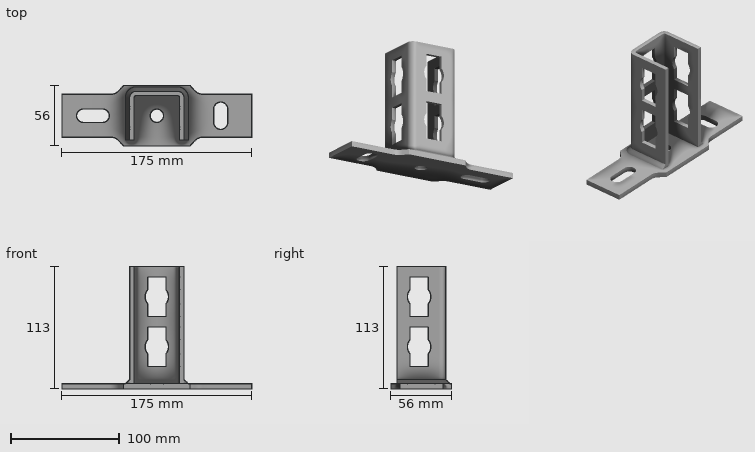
import cadquery as cq

plate_length = 175.0
plate_width = 56.0
end_width = 39.7
wide_length = 60.9
shoulder_run = 7.5
plate_thickness = 5.0
neck_radius = 10.0
selection_margin = 1.8

hole_diameter = 12.0
slot_offset = 58.8
long_slot_length = 30.0
long_slot_width = 12.0
cross_slot_length = 25.0
cross_slot_width = 12.8

total_height = 113.0
channel_width = 50.0
channel_depth = 45.0
wall = 4.0
outer_bend_radius = 6.0
inner_bend_radius = outer_bend_radius - wall

window_width = 16.5
window_height = 36.0
window_bulge = 2.5
bulge_height = 13.0
window_pitch = 46.0
window_top_margin = 10.0

weld_width = 4.0
weld_height = 3.7

channel_back = channel_depth / 2
channel_front = -channel_depth / 2
side_face = channel_width / 2
upper_window_z = total_height - window_top_margin - window_height / 2
window_heights = [upper_window_z, upper_window_z - window_pitch]


def make_plate():
    """Plate with a wide middle, sloping shoulders and filleted necks."""
    half_end = end_width / 2
    half_wide = plate_width / 2
    neck_x = wide_length / 2 + shoulder_run
    blank = (
        cq.Workplane("XY")
        .polyline([
            (-plate_length / 2, -half_end),
            (-neck_x, -half_end),
            (-wide_length / 2, -half_wide),
            (wide_length / 2, -half_wide),
            (neck_x, -half_end),
            (plate_length / 2, -half_end),
            (plate_length / 2, half_end),
            (neck_x, half_end),
            (wide_length / 2, half_wide),
            (-wide_length / 2, half_wide),
            (-neck_x, half_end),
            (-plate_length / 2, half_end),
        ])
        .close()
        .extrude(plate_thickness)
    )
    neck_box = cq.selectors.BoxSelector(
        (-neck_x - selection_margin, -half_end - selection_margin, 0),
        (neck_x + selection_margin, half_end + selection_margin, plate_thickness),
    )
    return blank.edges("|Z").edges(neck_box).fillet(neck_radius)


def cut_plate_holes(body):
    """Central hole, lengthwise slot on -X and crosswise slot on +X."""
    hole = cq.Workplane("XY").circle(hole_diameter / 2).extrude(plate_thickness)
    long_slot = (
        cq.Workplane("XY")
        .center(-slot_offset, 0)
        .slot2D(long_slot_length, long_slot_width)
        .extrude(plate_thickness)
    )
    cross_slot = (
        cq.Workplane("XY")
        .center(slot_offset, 0)
        .slot2D(cross_slot_length, cross_slot_width, 90)
        .extrude(plate_thickness)
    )
    return body.cut(hole).cut(long_slot).cut(cross_slot)


def bent_block(width, back, bend_radius):
    """Solid block from the open front to `back`, with its two rear corners rounded."""
    return (
        cq.Workplane("XY", origin=(0, 0, plate_thickness))
        .moveTo(0, (channel_front + back) / 2)
        .rect(width, back - channel_front)
        .extrude(total_height - plate_thickness)
        .edges("|Z and >Y")
        .fillet(bend_radius)
    )


def make_channel():
    """U-shaped channel of constant wall thickness."""
    outside = bent_block(channel_width, channel_back, outer_bend_radius)
    inside = bent_block(channel_width - 2 * wall, channel_back - wall, inner_bend_radius)
    return outside.cut(inside)


def window_cutter(plane, depth):
    """Upright rectangle with an arc bulging from each long side, extruded both ways."""
    half_width = window_width / 2
    half_height = window_height / 2
    half_bulge = bulge_height / 2
    return (
        plane.moveTo(-half_width, -half_height)
        .lineTo(half_width, -half_height)
        .lineTo(half_width, -half_bulge)
        .threePointArc((half_width + window_bulge, 0), (half_width, half_bulge))
        .lineTo(half_width, half_height)
        .lineTo(-half_width, half_height)
        .lineTo(-half_width, half_bulge)
        .threePointArc((-half_width - window_bulge, 0), (-half_width, -half_bulge))
        .close()
        .extrude(depth, both=True)
    )


def cut_windows(body):
    """Two windows, one above the other, through each side wall and the back wall."""
    side_window_y = -wall / 2
    for z in window_heights:
        side_plane = cq.Workplane("YZ", origin=(0, side_window_y, z))
        back_plane = cq.Workplane("XZ", origin=(0, channel_back, z))
        body = body.cut(window_cutter(side_plane, channel_width))
        body = body.cut(window_cutter(back_plane, channel_depth / 2))
    return body


def weld_section(plane):
    """Right-triangle bead section: foot on the plate, upright leg on the wall."""
    return plane.polyline([(0, 0), (weld_width, 0), (0, weld_height)]).close()


def make_weld():
    """Straight beads along the sides and back, joined by conical corner beads."""
    corner_x = side_face - outer_bend_radius
    corner_y = channel_back - outer_bend_radius

    side_plane = cq.Workplane("XZ", origin=(side_face, corner_y, plate_thickness))
    side = weld_section(side_plane).extrude(corner_y - channel_front)

    back_plane = cq.Workplane("YZ", origin=(0, channel_back, plate_thickness))
    back = weld_section(back_plane).extrude(corner_x, both=True)

    corner_plane = cq.Workplane("XZ", origin=(corner_x, corner_y, plate_thickness))
    corner = (
        corner_plane.moveTo(outer_bend_radius, 0)
        .lineTo(outer_bend_radius + weld_width, 0)
        .lineTo(outer_bend_radius, weld_height)
        .close()
        .revolve(90, (0, 0), (0, 1))
    )
    half = side.union(corner)
    return back.union(half).union(half.mirror("YZ"))


plate = cut_plate_holes(make_plate())
channel = cut_windows(make_channel())
result = plate.union(channel).union(make_weld())